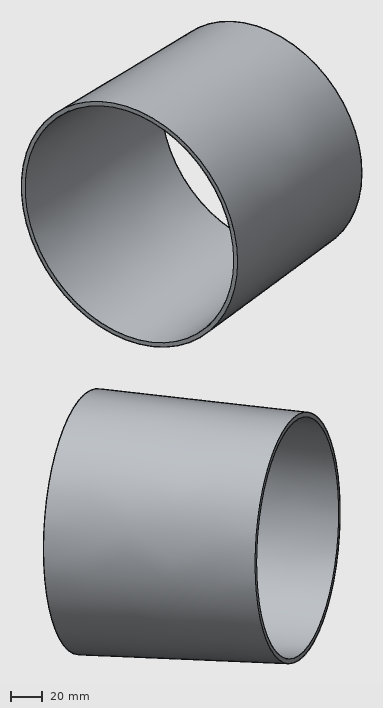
import cadquery as cq

length = 140.0
wide_diameter = 168.3
narrow_diameter = 159.0
wall = 3.0

wide_radius = wide_diameter / 2
narrow_radius = narrow_diameter / 2
front_y = -length / 2
back_y = length / 2

section = (
    cq.Workplane("XY")
    .moveTo(wide_radius - wall, front_y)
    .lineTo(wide_radius, front_y)
    .lineTo(narrow_radius, back_y)
    .lineTo(narrow_radius - wall, back_y)
    .close()
)
result = section.revolve(360, (0, 0, 0), (0, 1, 0))